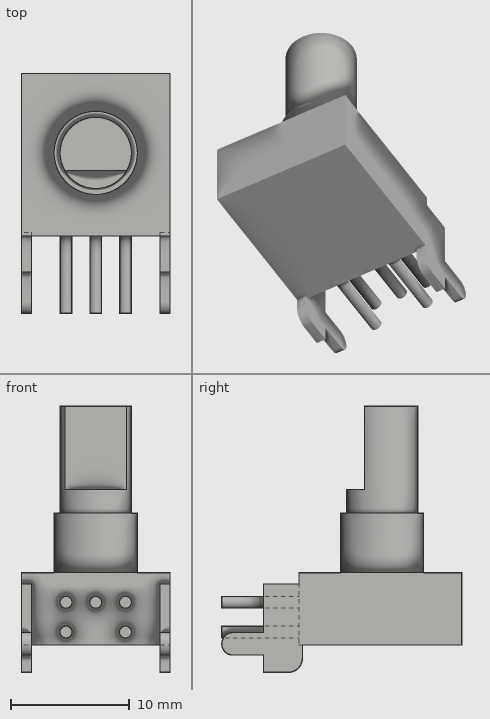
import cadquery as cq


housing_width = 12.5
housing_back = 6.7
housing_front = -7.0
housing_height = 6.1

bushing_diameter = 7.0
bushing_height = 5.0
shaft_diameter = 6.0
shaft_top = 14.0
flat_length = 7.0
flat_offset = 1.5

pin_diameter = 1.0
pin_pitch = 2.5
pin_end = -13.5
upper_pin_z = -2.5
lower_pin_z = upper_pin_z - pin_pitch
upper_pin_columns = (-1, 0, 1)
lower_pin_columns = (-1, 1)

bracket_thickness = 0.85
bracket_top = -0.95
bracket_bottom = -8.4
bracket_front = -10.0
leg_back = -6.7
leg_corner_radius = 1.2
prong_width = 1.9
prong_center_z = -6.0
prong_end = pin_end


def make_housing():
    depth = housing_back - housing_front
    return (
        cq.Workplane("XY")
        .center(0, (housing_back + housing_front) / 2)
        .rect(housing_width, depth)
        .extrude(-housing_height)
    )


def make_shaft():
    shaft_radius = shaft_diameter / 2
    bushing = cq.Workplane("XY").circle(bushing_diameter / 2).extrude(bushing_height)
    shaft = cq.Workplane("XY").circle(shaft_radius).extrude(shaft_top)
    flat_depth = shaft_radius - flat_offset
    flat_cut = (
        cq.Workplane("XY", origin=(0, 0, shaft_top - flat_length))
        .center(0, -flat_offset - flat_depth / 2)
        .rect(shaft_diameter, flat_depth)
        .extrude(flat_length)
    )
    return bushing.union(shaft.cut(flat_cut))


def make_pin_row(columns, z):
    """Round pins reaching from the housing front face toward -Y."""
    return (
        cq.Workplane("XZ", origin=(0, housing_front, 0))
        .pushPoints([(column * pin_pitch, z) for column in columns])
        .circle(pin_diameter / 2)
        .extrude(housing_front - pin_end)
    )


def make_bracket(left_x):
    """Flat side bracket whose X face nearer -X lies at left_x."""
    prong_radius = prong_width / 2
    prong_top = prong_center_z + prong_radius
    prong_bottom = prong_center_z - prong_radius
    prong_arc_start = prong_end + prong_radius
    return (
        cq.Workplane("YZ", origin=(left_x, 0, 0))
        .moveTo(housing_front, bracket_top)
        .lineTo(bracket_front, bracket_top)
        .lineTo(bracket_front, prong_top)
        .lineTo(prong_arc_start, prong_top)
        .threePointArc((prong_end, prong_center_z), (prong_arc_start, prong_bottom))
        .lineTo(bracket_front, prong_bottom)
        .lineTo(bracket_front, bracket_bottom)
        .lineTo(leg_back - leg_corner_radius, bracket_bottom)
        .radiusArc((leg_back, bracket_bottom + leg_corner_radius), -leg_corner_radius)
        .lineTo(leg_back, -housing_height)
        .lineTo(housing_front, -housing_height)
        .close()
        .extrude(bracket_thickness)
    )


result = make_housing().union(make_shaft())
result = result.union(make_pin_row(upper_pin_columns, upper_pin_z))
result = result.union(make_pin_row(lower_pin_columns, lower_pin_z))
for bracket_x in (-housing_width / 2, housing_width / 2 - bracket_thickness):
    result = result.union(make_bracket(bracket_x))